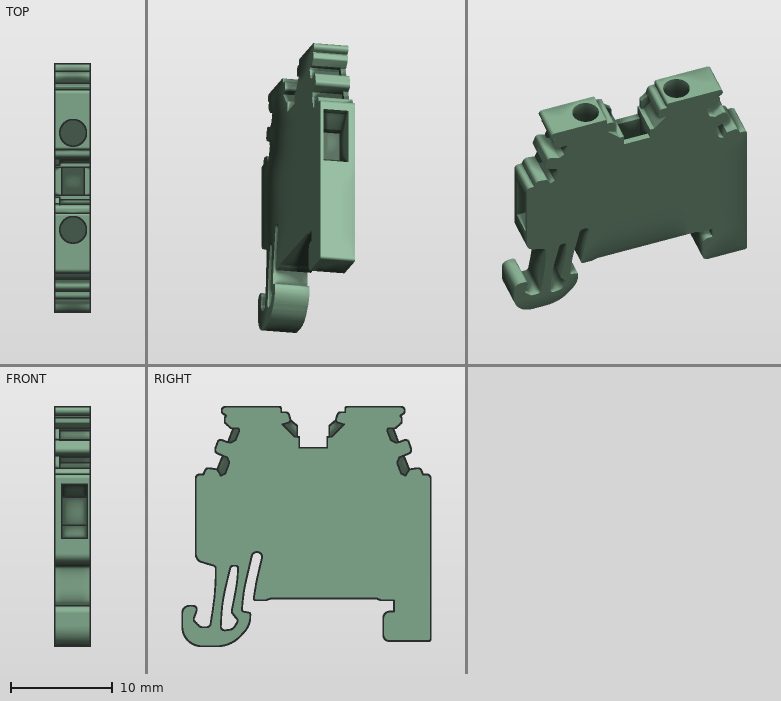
import cadquery as cq
import math

THICKNESS = 3.5
HEIGHT = 23.57
HOUSING_HALF = 11.56
HOOK_REACH = 24.45 - HOUSING_HALF

NOTCH_HALF = 1.37
NOTCH_FLOOR_Z = 19.54
LEDGE_Z = 20.6
LEDGE_HALF = 1.56
LEDGE_WALL_TOP_Z = 21.69
NOTCH_POCKET_X = (0.68, 2.9)
NOTCH_POCKET_DEPTH = 2.45

SCREW_HOLE_DIAMETER = 2.62
SCREW_HOLE_X = 1.8
SCREW_HOLE_OFFSET = 4.77
SCREW_HOLE_DEPTH = 4.9

WEB_THICKNESS = 0.51

ENTRY_X = (0.68, 3.2)
ENTRY_BOTTOM_Z = 10.65
ENTRY_TOP_Z = 15.95
ENTRY_MOUTH_DEPTH = 1.12
ENTRY_DEPTH = 3.5
ENTRY_BACK_BOTTOM_Z = 11.9
ENTRY_BACK_TOP_Z = 14.65
ENTRY_MOUTH_Y = HOUSING_HALF - ENTRY_MOUTH_DEPTH
ENTRY_BACK_Y = HOUSING_HALF - ENTRY_DEPTH

FOOT_BOTTOM_Z = 0.51
FOOT_INNER_Y = 6.87
FOOT_TOP_Z = 3.45
SEAT_Z = 4.52
SEAT_RELIEF_Z = 4.7

SHOULDER_Z = 23.03
LOBE_INNER = 3.13
UPPER_GROOVE_TOP = (7.87, 21.45)
UPPER_GROOVE_BOTTOM = (8.39, 20.07)
LOWER_GROOVE_TOP = (8.9, 18.75)
LOWER_GROOVE_BOTTOM = (9.44, 17.4)
UPPER_HALF = [
    (NOTCH_HALF, NOTCH_FLOOR_Z),
    (NOTCH_HALF, LEDGE_Z),
    (LEDGE_HALF, LEDGE_Z),
    (LEDGE_HALF, LEDGE_WALL_TOP_Z),
    (2.2, 22.23),
    (2.45, SHOULDER_Z, 0.4),
    (LOBE_INNER, SHOULDER_Z),
    (LOBE_INNER, HEIGHT, 0.25),
    (10.07, HEIGHT, 0.4),
    (8.55, 22.7),
    (8.7, 22.5),
    (8.7, 22.0, 0.2),
    (8.1, UPPER_GROOVE_TOP[1]),
    UPPER_GROOVE_TOP,
    UPPER_GROOVE_BOTTOM,
    (9.3, 20.42, 0.35),
    (9.75, 19.1, 0.42),
    LOWER_GROOVE_TOP,
    LOWER_GROOVE_BOTTOM,
    (10.51, 17.58, 0.4),
    (10.8, 16.92),
    (HOUSING_HALF, 16.92, 0.42),
]

HOOK_TIP_Z = 4.0
WINDOW_TOP_Z = 7.92
SLOT_ROOT_Z = 9.27

HOOK = [
    (-HOUSING_HALF, 8.45, 0.85),
    (-9.58, 7.87, 0.3),
    (-9.58, 5.5, 24.45),
    (-10.15, 1.9, 0.35),
    (-11.1, 1.9, 0.46),
    (-11.78, 2.6, 0.3),
    (-11.27, HOOK_TIP_Z, 0.4),
    (-HOOK_REACH, HOOK_TIP_Z, 0.73),
    (-HOOK_REACH, 0, 1.95),
    (-8.1, 0, 3.18),
    (-6.19, 2.05, 2.2),
    (-6.15, 3.3, 0.22),
    (-7.02, 3.47, 0.17),
    (-6.82, 5.5, 14.67),
    (-5.95, SLOT_ROOT_Z, 0.46),
    (-4.91, SLOT_ROOT_Z, 0.46),
    (-5.57, 6.48, 14.67),
    (-5.9, SEAT_Z, 0.22),
]

FOOT = [
    (-4.65, SEAT_Z),
    (-4.2, SEAT_RELIEF_Z),
    (6.25, SEAT_RELIEF_Z),
    (6.65, SEAT_Z),
    (7.92, SEAT_Z),
    (7.92, FOOT_TOP_Z),
    (FOOT_INNER_Y, FOOT_TOP_Z, 0.68),
    (FOOT_INNER_Y, FOOT_BOTTOM_Z, 0.64),
    (HOUSING_HALF, FOOT_BOTTOM_Z, 0.25),
]

HOOK_WINDOW = [
    (-7.7, WINDOW_TOP_Z),
    (-7.38, WINDOW_TOP_Z, 0.22),
    (-7.45, 6.35, 14.67),
    (-8.05, 3.37, 0.37),
    (-7.38, 2.55, 0.22),
    (-7.87, 1.69, 0.73),
    (-9.1, 1.55, 0.37),
    (-8.95, 4.4, 14.67),
    (-8.1, WINDOW_TOP_Z, 0.27),
]

SHOULDER_RECESS = [
    (2.27, 22.47),
    (2.25, 22.05, 0.25),
    (3.03, 21.83),
    (1.8, LEDGE_Z),
    (LEDGE_HALF, LEDGE_Z),
    (LEDGE_HALF, LEDGE_WALL_TOP_Z),
]
UPPER_GROOVE_RECESS = [
    UPPER_GROOVE_TOP,
    (7.35, UPPER_GROOVE_TOP[1]),
    (7.25, 21.22),
    (7.63, 20.3),
    (8.17, 20.0),
    UPPER_GROOVE_BOTTOM,
]
LOWER_GROOVE_RECESS = [
    LOWER_GROOVE_TOP,
    (8.45, 18.58),
    (8.25, 18.07),
    (8.63, 17.02),
    (9.07, 16.77),
    LOWER_GROOVE_BOTTOM,
]

ENTRY_SECTION = [
    (HOUSING_HALF, ENTRY_BOTTOM_Z),
    (ENTRY_MOUTH_Y, ENTRY_BOTTOM_Z),
    (ENTRY_BACK_Y, ENTRY_BACK_BOTTOM_Z),
    (ENTRY_BACK_Y, ENTRY_BACK_TOP_Z),
    (8.85, 14.77),
    (ENTRY_MOUTH_Y, ENTRY_TOP_Z),
    (HOUSING_HALF, ENTRY_TOP_Z),
]


def corner_arc(before, corner, after):
    """Start, middle and end of the arc that rounds a corner."""
    y, z, radius = corner
    in_y, in_z = before[0] - y, before[1] - z
    out_y, out_z = after[0] - y, after[1] - z
    in_length = math.hypot(in_y, in_z)
    out_length = math.hypot(out_y, out_z)
    in_y, in_z = in_y / in_length, in_z / in_length
    out_y, out_z = out_y / out_length, out_z / out_length
    half_angle = math.acos(in_y * out_y + in_z * out_z) / 2
    setback = radius / math.tan(half_angle)
    to_middle = radius / math.sin(half_angle) - radius
    bisector_length = math.hypot(in_y + out_y, in_z + out_z)
    middle_y = y + to_middle * (in_y + out_y) / bisector_length
    middle_z = z + to_middle * (in_z + out_z) / bisector_length
    start = (y + setback * in_y, z + setback * in_z)
    end = (y + setback * out_y, z + setback * out_z)
    return start, (middle_y, middle_z), end


def rounded_prism(corners, x_start=0, x_end=THICKNESS):
    """Prism along X over a closed outline; a corner given without a radius stays sharp."""
    sketch = cq.Workplane("YZ", origin=(x_start, 0, 0)).moveTo(*corners[0][:2])
    for index in range(1, len(corners)):
        corner = corners[index]
        after = corners[(index + 1) % len(corners)]
        if len(corner) == 3:
            start, middle, end = corner_arc(corners[index - 1], corner, after)
            sketch = sketch.lineTo(*start).threePointArc(middle, end)
        else:
            sketch = sketch.lineTo(*corner)
    return sketch.close().extrude(x_end - x_start)


def cut_both_sides(body, tool):
    return body.cut(tool).cut(tool.mirror("XZ"))


def housing():
    front_half = [(-y, *rest) for y, *rest in UPPER_HALF]
    back_half = UPPER_HALF[::-1]
    return rounded_prism(front_half + HOOK + FOOT + back_half)


def screw_hole():
    top = cq.Workplane("XY", origin=(SCREW_HOLE_X, SCREW_HOLE_OFFSET, HEIGHT))
    return top.circle(SCREW_HOLE_DIAMETER / 2).extrude(-SCREW_HOLE_DEPTH)


def notch_pocket():
    x_start, x_end = NOTCH_POCKET_X
    floor = cq.Workplane("XY", origin=(x_start, -NOTCH_HALF, NOTCH_FLOOR_Z))
    return floor.rect(x_end - x_start, 2 * NOTCH_HALF, centered=False).extrude(-NOTCH_POCKET_DEPTH)


result = housing().cut(rounded_prism(HOOK_WINDOW)).cut(notch_pocket())
result = cut_both_sides(result, screw_hole())
result = cut_both_sides(result, rounded_prism(ENTRY_SECTION, *ENTRY_X))
for recess in (SHOULDER_RECESS, UPPER_GROOVE_RECESS, LOWER_GROOVE_RECESS):
    result = cut_both_sides(result, rounded_prism(recess, WEB_THICKNESS, THICKNESS))